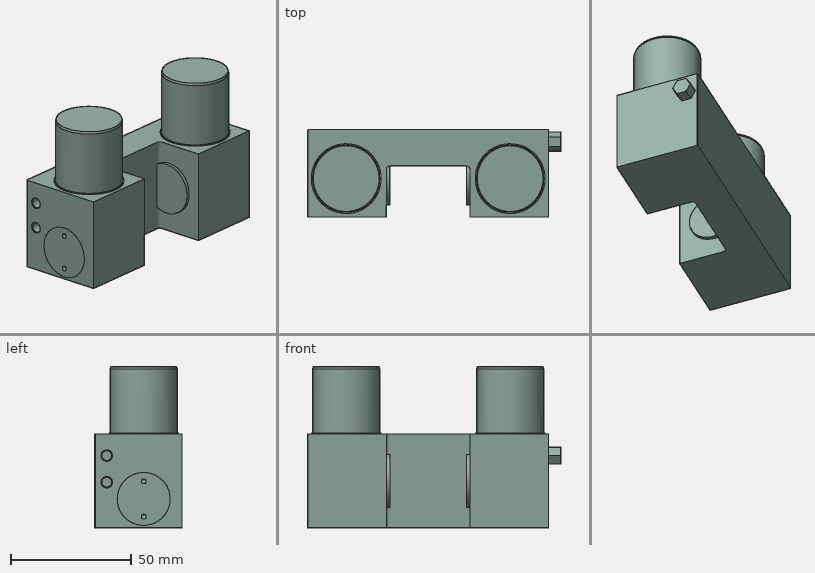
import cadquery as cq
import math

OVERALL_LENGTH = 105.1
OVERALL_HEIGHT = 67.0
HOUSING_LENGTH = 100.1
HOUSING_DEPTH = 36.5
HOUSING_HEIGHT = 39.0
ARM_LENGTH = 32.7
WEB_DEPTH = 15.2
SLOT_CORNER_RADIUS = 1.5
BACK_EDGE_CHAMFER = 0.4

KNOB_INSET = 16.0
KNOB_DIAMETER = 28.0
KNOB_TOP_CHAMFER = 0.9
KNOB_TOP_DIAMETER = 27.3
COLLAR_DIAMETER = 29.0
COLLAR_HEIGHT = 0.3

PAD_DIAMETER = 22.0
PAD_PROTRUSION = 1.5

PLUG_DIAMETER = 22.0
PLUG_DEPTH = 5.3
PLUG_HEIGHT = 12.0
SPANNER_HOLE_DIAMETER = 2.0
SPANNER_HOLE_SPACING = 14.7
SPANNER_HOLE_DEPTH = 2.1
DRILL_TIP_ANGLE = 118.0

PORT_DIAMETER = 4.1
PORT_MOUTH_DIAMETER = 4.7
PORT_DEPTH = 8.4
PORT_BACK_INSET = 5.1
LOWER_PORT_HEIGHT = 18.9
UPPER_PORT_HEIGHT = 30.0
HEX_ACROSS_FLATS = 7.0

SLOT_LEFT = ARM_LENGTH
SLOT_RIGHT = HOUSING_LENGTH - ARM_LENGTH
SLOT_FLOOR = HOUSING_DEPTH - WEB_DEPTH
KNOB_CENTERS_X = (KNOB_INSET, HOUSING_LENGTH - KNOB_INSET)
AXIS_Y = KNOB_INSET
PORT_Y = HOUSING_DEPTH - PORT_BACK_INSET


def rod_along_x(x, y, z, diameter, length):
    """Cylinder starting at (x, y, z) and running toward +X."""
    return cq.Workplane("YZ", origin=(x, y, z)).circle(diameter / 2).extrude(length)


def make_block():
    """U-shaped block with rounded slot corners and broken back edges."""
    block = (
        cq.Workplane("XY")
        .box(HOUSING_LENGTH, HOUSING_DEPTH, HOUSING_HEIGHT, centered=False)
        .edges("|Z and >Y")
        .chamfer(BACK_EDGE_CHAMFER)
    )
    slot = (
        cq.Workplane("XY", origin=(SLOT_LEFT, 0, 0))
        .box(SLOT_RIGHT - SLOT_LEFT, SLOT_FLOOR, HOUSING_HEIGHT, centered=False)
        .edges("|Z and >Y")
        .fillet(SLOT_CORNER_RADIUS)
    )
    return block.cut(slot)


def make_pads():
    """Two round pads that stand out into the slot at mid height."""
    starts_x = (SLOT_LEFT, SLOT_RIGHT - PAD_PROTRUSION)
    left_pad, right_pad = [
        rod_along_x(x, AXIS_Y, HOUSING_HEIGHT / 2, PAD_DIAMETER, PAD_PROTRUSION) for x in starts_x
    ]
    return left_pad.union(right_pad)


def make_port(z):
    """Cutter for a flat-bottomed port with a chamfered mouth."""
    mouth_radius = PORT_MOUTH_DIAMETER / 2
    bore_radius = PORT_DIAMETER / 2
    mouth_depth = mouth_radius - bore_radius
    mouth = cq.Solid.makeCone(
        mouth_radius, bore_radius, mouth_depth, cq.Vector(0, PORT_Y, z), cq.Vector(1, 0, 0)
    )
    return rod_along_x(0, PORT_Y, z, PORT_DIAMETER, PORT_DEPTH).union(cq.Workplane(obj=mouth))


def make_hex_fitting():
    """Hexagonal fitting with its flats at top and bottom."""
    across_corners = HEX_ACROSS_FLATS / math.cos(math.pi / 6)
    return (
        cq.Workplane("YZ", origin=(HOUSING_LENGTH, PORT_Y, UPPER_PORT_HEIGHT))
        .polygon(6, across_corners)
        .extrude(OVERALL_LENGTH - HOUSING_LENGTH)
    )


def make_housing():
    housing = make_block().union(make_pads()).union(make_hex_fitting())
    for z in (LOWER_PORT_HEIGHT, UPPER_PORT_HEIGHT):
        housing = housing.cut(make_port(z))
    return housing.cut(rod_along_x(0, AXIS_Y, PLUG_HEIGHT, PLUG_DIAMETER, PLUG_DEPTH))


def make_spanner_hole(z):
    """Cutter for a drilled blind hole with a conical bottom."""
    radius = SPANNER_HOLE_DIAMETER / 2
    tip_depth = radius / math.tan(math.radians(DRILL_TIP_ANGLE / 2))
    tip = cq.Solid.makeCone(
        radius, 0, tip_depth, cq.Vector(SPANNER_HOLE_DEPTH, AXIS_Y, z), cq.Vector(1, 0, 0)
    )
    bore = rod_along_x(0, AXIS_Y, z, SPANNER_HOLE_DIAMETER, SPANNER_HOLE_DEPTH)
    return bore.union(cq.Workplane(obj=tip))


def make_plug():
    plug = rod_along_x(0, AXIS_Y, PLUG_HEIGHT, PLUG_DIAMETER, PLUG_DEPTH)
    for side in (-1, 1):
        plug = plug.cut(make_spanner_hole(PLUG_HEIGHT + side * SPANNER_HOLE_SPACING / 2))
    return plug


def make_knob(x):
    """Turned knob: a thin collar, a plain barrel and a chamfered top."""
    knob_height = OVERALL_HEIGHT - HOUSING_HEIGHT
    half_profile = [
        (0, 0),
        (COLLAR_DIAMETER / 2, 0),
        (COLLAR_DIAMETER / 2, COLLAR_HEIGHT),
        (KNOB_DIAMETER / 2, COLLAR_HEIGHT),
        (KNOB_DIAMETER / 2, knob_height - KNOB_TOP_CHAMFER),
        (KNOB_TOP_DIAMETER / 2, knob_height),
        (0, knob_height),
    ]
    return (
        cq.Workplane("XZ")
        .polyline(half_profile)
        .close()
        .revolve(360, (0, 0, 0), (0, 1, 0))
        .translate((x, AXIS_Y, HOUSING_HEIGHT))
    )


housing = make_housing()
plug = make_plug()
knobs = [make_knob(x) for x in KNOB_CENTERS_X]

result = cq.Compound.makeCompound([housing.val(), plug.val(), *[knob.val() for knob in knobs]])